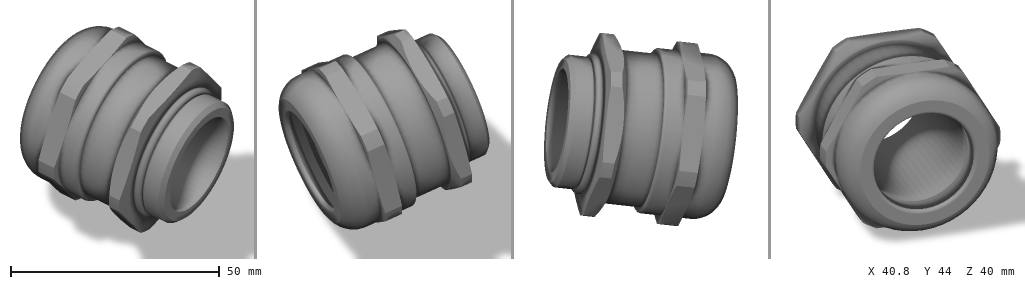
import cadquery as cq
import math


ACROSS_FLATS = 40.0
ACROSS_CORNERS = 44.0
SMALL_BEVEL_ANGLE = 7.0
LARGE_BEVEL_ANGLE = 30.0

CAP_DIAMETER = 39.8
CAP_LENGTH = 18.75
NOSE_LENGTH = 5.9
NOSE_FACE_DIAMETER = 32.6
CAP_HEX_START = 8.8
CAP_HEX_END = 13.8
CAP_REAR_ROUND = 0.6
MOUTH_DIAMETER = 25.3
MOUTH_ROUND = 0.8
LIP_THICKNESS = 1.1
CAVITY_TAPER_END = 3.5

CLAMP_DIAMETER = 35.5
SEAL_DIAMETER = 30.0
SEAL_START = 5.5
BORE_DIAMETER = 25.0

NECK_DIAMETER = 37.0
NECK_START = CAP_HEX_END
BODY_HEX_START = 28.15
BODY_HEX_END = 32.8
FRONT_BEVEL_DIAMETER = 39.4
REAR_BEVEL_DIAMETER = 36.95
THREAD_DIAMETER = 32.0
THREAD_LEAD_CHAMFER = 0.5
THREAD_END_CHAMFER = 1.1
TOTAL_LENGTH = 40.75

RING_DIAMETER = 34.0
GROOVE_DIAMETER = 30.0
RING_SECTION = (RING_DIAMETER - GROOVE_DIAMETER) / 2
GROOVE_END = BODY_HEX_END + RING_SECTION


def revolve_about_x(profile):
    """Full turn of a closed (x, radius) profile about the X axis."""
    return profile.close().revolve(360, (0, 0, 0), (1, 0, 0))


def cylinder(start, end, diameter):
    """Round bar along X."""
    return cq.Workplane("YZ", origin=(start, 0, 0)).circle(diameter / 2).extrude(end - start)


def tube(start, end, outer_diameter, inner_diameter):
    """Plain tube along X."""
    outer = cylinder(start, end, outer_diameter)
    return outer.cut(cylinder(start, end, inner_diameter))


def bevel_depth(diameter, angle):
    """Axial depth at the hexagon corners of a bevel that starts at the given diameter."""
    return (ACROSS_CORNERS - diameter) / 2 * math.tan(math.radians(angle))


def hexagon(start, end, front_diameter, front_angle, rear_diameter, rear_angle):
    """Hexagon with flats at +Z and -Z, its rounded corners bevelled on both faces."""
    prism = (
        cq.Workplane("YZ", origin=(start, 0, 0))
        .polygon(6, ACROSS_FLATS / math.cos(math.pi / 6))
        .extrude(end - start)
    )
    corner_radius = ACROSS_CORNERS / 2
    turned_blank = revolve_about_x(
        cq.Workplane("XY")
        .moveTo(start, 0)
        .lineTo(start, front_diameter / 2)
        .lineTo(start + bevel_depth(front_diameter, front_angle), corner_radius)
        .lineTo(end - bevel_depth(rear_diameter, rear_angle), corner_radius)
        .lineTo(end, rear_diameter / 2)
        .lineTo(end, 0)
    )
    return prism.intersect(turned_blank)


def cap_shell():
    """Round outside of the cap: domed nose, rounded rear edge."""
    radius = CAP_DIAMETER / 2
    face_radius = NOSE_FACE_DIAMETER / 2
    nose_drop = radius - face_radius
    nose_radius = (NOSE_LENGTH**2 + nose_drop**2) / (2 * nose_drop)
    half_sweep = math.asin(NOSE_LENGTH / nose_radius) / 2
    nose_middle = (
        NOSE_LENGTH - nose_radius * math.sin(half_sweep),
        radius - nose_radius * (1 - math.cos(half_sweep)),
    )
    shell = revolve_about_x(
        cq.Workplane("XY")
        .lineTo(0, face_radius)
        .threePointArc(nose_middle, (NOSE_LENGTH, radius))
        .lineTo(CAP_LENGTH, radius)
        .lineTo(CAP_LENGTH, 0)
    )
    return shell.faces(">X").edges().fillet(CAP_REAR_ROUND)


def cap_cavity():
    """Mouth, taper behind the lip, clamping chamber and socket for the neck."""
    mouth_radius = MOUTH_DIAMETER / 2
    clamp_radius = CLAMP_DIAMETER / 2
    neck_radius = NECK_DIAMETER / 2
    return revolve_about_x(
        cq.Workplane("XY")
        .lineTo(0, mouth_radius)
        .lineTo(LIP_THICKNESS, mouth_radius)
        .lineTo(CAVITY_TAPER_END, clamp_radius)
        .lineTo(NECK_START, clamp_radius)
        .lineTo(NECK_START, neck_radius)
        .lineTo(CAP_LENGTH, neck_radius)
        .lineTo(CAP_LENGTH, 0)
    )


def make_cap():
    cap = cap_shell().union(
        hexagon(
            CAP_HEX_START, CAP_HEX_END,
            CAP_DIAMETER, SMALL_BEVEL_ANGLE,
            CAP_DIAMETER, SMALL_BEVEL_ANGLE,
        )
    )
    cap = cap.cut(cap_cavity())
    mouth_edge = cq.selectors.RadiusNthSelector(0)
    return cap.faces("<X").edges(mouth_edge).fillet(MOUTH_ROUND)


def make_body():
    """Neck, hexagon, O-ring groove and chamfered connection end, bored right through."""
    thread = (
        cylinder(GROOVE_END, TOTAL_LENGTH, THREAD_DIAMETER)
        .faces("<X").chamfer(THREAD_LEAD_CHAMFER)
        .faces(">X").chamfer(THREAD_END_CHAMFER)
    )
    body = (
        cylinder(NECK_START, BODY_HEX_START, NECK_DIAMETER)
        .union(
            hexagon(
                BODY_HEX_START, BODY_HEX_END,
                FRONT_BEVEL_DIAMETER, LARGE_BEVEL_ANGLE,
                REAR_BEVEL_DIAMETER, SMALL_BEVEL_ANGLE,
            )
        )
        .union(cylinder(BODY_HEX_END, GROOVE_END, GROOVE_DIAMETER))
        .union(thread)
    )
    body = body.cut(cylinder(NECK_START, CAP_LENGTH, SEAL_DIAMETER))
    return body.cut(cylinder(CAP_LENGTH, TOTAL_LENGTH, BORE_DIAMETER))


def make_o_ring():
    """Round ring that touches the groove floor and both groove walls."""
    section_radius = RING_SECTION / 2
    mean_radius = RING_DIAMETER / 2 - section_radius
    ring_middle = BODY_HEX_END + section_radius
    return cq.Solid.makeTorus(mean_radius, section_radius, cq.Vector(ring_middle, 0, 0), cq.Vector(1, 0, 0))


cap = make_cap()
clamp_ring = tube(SEAL_START, NECK_START, CLAMP_DIAMETER, SEAL_DIAMETER)
seal = tube(SEAL_START, CAP_LENGTH, SEAL_DIAMETER, BORE_DIAMETER)
body = make_body()
o_ring = make_o_ring()

result = cq.Compound.makeCompound(
    [cap.val(), clamp_ring.val(), seal.val(), body.val(), o_ring]
)